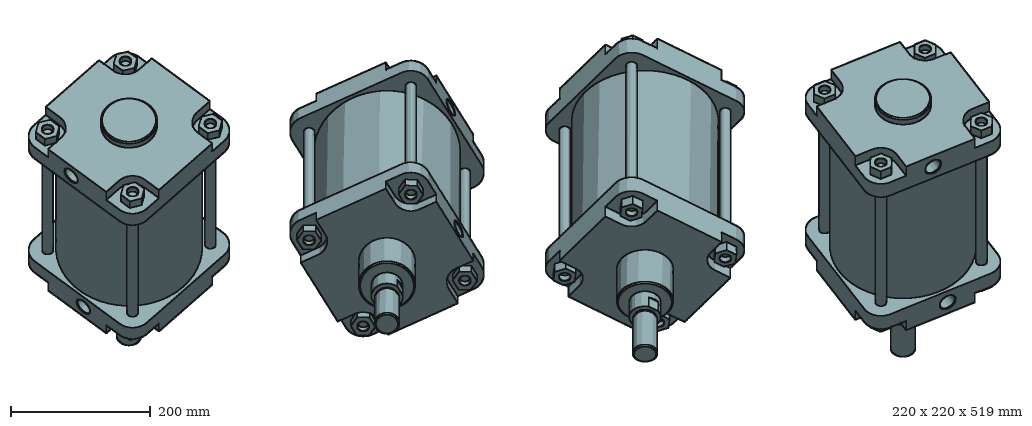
import cadquery as cq

thread_length = 73.0
wrench_length = 18.0
collar_length = 11.5
gland_length = 65.0
cap_thickness = 46.5
rear_boss_height = 12.0
total_length = 519.0

wrench_bottom = thread_length
collar_bottom = wrench_bottom + wrench_length
gland_bottom = collar_bottom + collar_length
front_cap_bottom = gland_bottom + gland_length
front_cap_top = front_cap_bottom + cap_thickness
rear_cap_top = total_length - rear_boss_height
rear_cap_bottom = rear_cap_top - cap_thickness

cap_width = 220.0
cap_corner_radius = 28.0
boss_diameter = 81.0
boss_chamfer = 2.0
recess_depth = 19.0
recess_radius = 26.0

port_diameter = 24.5
port_chamfer = 1.0
port_depth = 21.0
port_offset = 12.0

barrel_diameter = 210.0

tie_offset = 82.5
tie_diameter = 16.0
nut_across_corners = 35.5
nut_height = 16.0
nut_bore_depth = 10.5
nut_bore_chamfer = 0.5

rod_diameter = 45.0
wrench_across_flats = 42.0
thread_diameter = 36.0
thread_chamfer = 2.0
neck_diameter = thread_diameter - 2 * thread_chamfer
neck_length = 2.5

tie_positions = [(x, y) for x in (-tie_offset, tie_offset) for y in (-tie_offset, tie_offset)]
nut_seat_bottom = front_cap_bottom + recess_depth
nut_seat_top = rear_cap_top - recess_depth


def cylinder(diameter, bottom, top):
    """Upright cylinder on the Z axis."""
    return cq.Workplane("XY").workplane(offset=bottom).circle(diameter / 2).extrude(top - bottom)


def make_cap(bottom, recess_bottom, port_x):
    """Square cap with corner recesses for the nuts, tie-rod holes and one air port."""
    cap = (
        cq.Workplane("XY")
        .workplane(offset=bottom)
        .rect(cap_width, cap_width)
        .extrude(cap_thickness)
        .edges("|Z")
        .fillet(cap_corner_radius)
    )

    inner_edge = tie_offset - recess_radius
    recess_size = cap_width / 2 - inner_edge + recess_radius
    recess_center = inner_edge + recess_size / 2
    recesses = (
        cq.Workplane("XY")
        .workplane(offset=recess_bottom)
        .rect(2 * recess_center, 2 * recess_center, forConstruction=True)
        .vertices()
        .rect(recess_size, recess_size)
        .extrude(recess_depth)
        .edges("|Z")
        .fillet(recess_radius)
    )

    tie_holes = (
        cq.Workplane("XY")
        .workplane(offset=bottom)
        .pushPoints(tie_positions)
        .circle(tie_diameter / 2)
        .extrude(cap_thickness)
    )
    port = (
        cq.Workplane("XZ", origin=(port_x, -cap_width / 2, bottom + cap_thickness / 2))
        .circle(port_diameter / 2)
        .extrude(-port_depth)
    )
    cap = cap.cut(recesses).cut(tie_holes).cut(port)
    return cap.faces("<Y").edges("%CIRCLE").chamfer(port_chamfer)


def make_front_cap():
    """Lower cap with the long gland that the piston rod leaves."""
    gland = cylinder(boss_diameter, gland_bottom, front_cap_bottom).faces("<Z").chamfer(boss_chamfer)
    return make_cap(front_cap_bottom, front_cap_bottom, port_offset).union(gland)


def make_rear_cap():
    """Upper cap with a low centring boss."""
    boss = cylinder(boss_diameter, rear_cap_top, total_length).faces(">Z").chamfer(boss_chamfer)
    return make_cap(rear_cap_bottom, nut_seat_top, -port_offset).union(boss)


def make_barrel():
    """Plain round barrel between the caps."""
    return cylinder(barrel_diameter, front_cap_top, rear_cap_bottom)


def make_tie_rod(x, y):
    """Rod through both caps with a hexagon nut on each end, bored out at its outer face."""
    bottom = nut_seat_bottom - nut_height
    top = nut_seat_top + nut_height
    tie_rod = cylinder(tie_diameter, bottom, top)
    for nut_bottom in (bottom, nut_seat_top):
        nut = (
            cq.Workplane("XY")
            .workplane(offset=nut_bottom)
            .polygon(6, nut_across_corners)
            .extrude(nut_height)
        )
        tie_rod = tie_rod.union(nut)
    tie_rod = tie_rod.cut(cylinder(tie_diameter, bottom, bottom + nut_bore_depth))
    tie_rod = tie_rod.cut(cylinder(tie_diameter, top - nut_bore_depth, top))
    for outer_face in ("<Z", ">Z"):
        tie_rod = tie_rod.faces(outer_face).edges("%CIRCLE").chamfer(nut_bore_chamfer)
    return tie_rod.translate((x, y, 0))


def make_piston_rod():
    """Rod end with a round collar, two wrench flats facing -Y and +Y, and a thread below a short neck."""
    wrench_section = cylinder(rod_diameter, wrench_bottom, collar_bottom).intersect(
        cq.Workplane("XY")
        .workplane(offset=wrench_bottom)
        .rect(rod_diameter, wrench_across_flats)
        .extrude(wrench_length)
    )
    thread_top = wrench_bottom - neck_length
    thread = cylinder(thread_diameter, 0, thread_top).faces("<Z or >Z").chamfer(thread_chamfer)
    return (
        cylinder(rod_diameter, collar_bottom, gland_bottom)
        .union(wrench_section)
        .union(cylinder(neck_diameter, thread_top, wrench_bottom))
        .union(thread)
    )


front_cap = make_front_cap()
rear_cap = make_rear_cap()
barrel = make_barrel()
piston_rod = make_piston_rod()
tie_rods = [make_tie_rod(x, y).val() for x, y in tie_positions]

result = cq.Compound.makeCompound(
    [front_cap.val(), rear_cap.val(), barrel.val(), piston_rod.val(), *tie_rods]
)